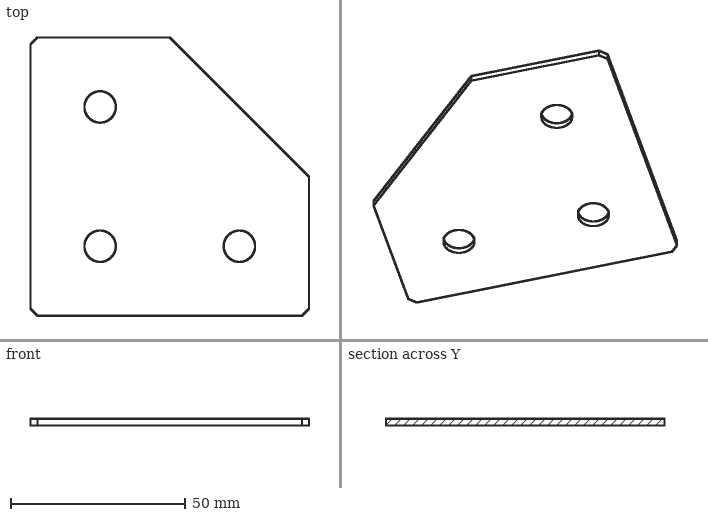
import cadquery as cq

side = 80.0
thickness = 2.0
corner_cut = 2.0
diagonal_cut = side / 2
hole_diameter = 9.0
hole_inset = side / 4
hole_pitch = side / 2

outline = [
    (corner_cut, 0),
    (side - corner_cut, 0),
    (side, corner_cut),
    (side, side - diagonal_cut),
    (side - diagonal_cut, side),
    (corner_cut, side),
    (0, side - corner_cut),
    (0, corner_cut),
]
plate = cq.Workplane("XY").polyline(outline).close().extrude(thickness)

hole_centers = [
    (hole_inset, hole_inset),
    (hole_inset + hole_pitch, hole_inset),
    (hole_inset, hole_inset + hole_pitch),
]
holes = (
    cq.Workplane("XY")
    .pushPoints(hole_centers)
    .circle(hole_diameter / 2)
    .extrude(thickness)
)

result = plate.cut(holes)